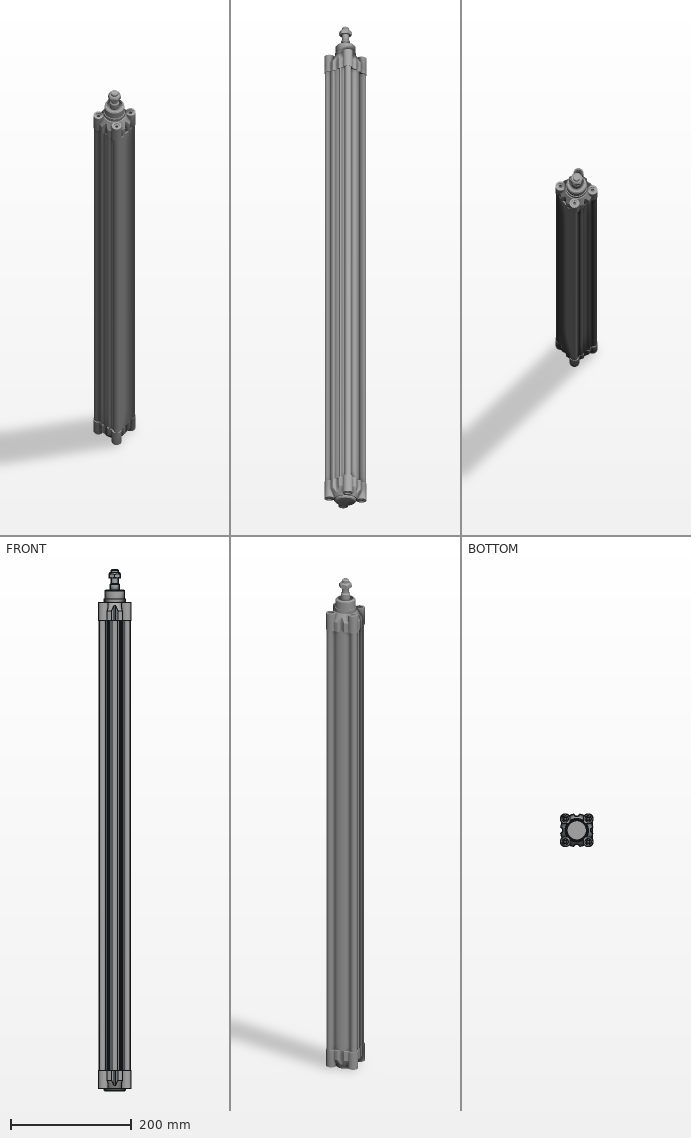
import cadquery as cq
import math

TOTAL_LENGTH = 863
REAR_COLLAR_LENGTH = 4.0
CAP_LENGTH = 30.0
FRONT_COLLAR_LENGTH = 21.0
ROD_EXPOSED_LENGTH = 10.0
THREAD_LENGTH = 23.0

CAP_SIDE = 54.0
POST_SPACING = 38.0
POST_DIAMETER = CAP_SIDE - POST_SPACING
SIDE_GROOVE_WIDTH = 12.0
SIDE_GROOVE_FLOOR_WIDTH = 3.0
CONE_LENGTH = 14.0
CONE_DEPTH = 8.0

SCREW_COUNTERBORE_DIAMETER = 10.0
SCREW_COUNTERBORE_DEPTH = 2.0
SCREW_SOCKET_DIAMETER = 4.9
SCREW_SOCKET_DEPTH = 6.0
SCREW_SOCKET_MOUTH_DIAMETER = 6.2

COLLAR_DIAMETER = 35.0
COLLAR_CHAMFER = 2.0
COLLAR_FOOT_LENGTH = 6.0
COLLAR_NECK_DIAMETER = 33.0
SEAL_RECESS_DIAMETER = 26
SEAL_RECESS_DEPTH = 3.0

BARREL_SIDE = 52
BORE_DIAMETER = 40.0
TUBE_DIAMETER = 47.5
BEAD_DIAMETER = 10.0
BEAD_SPACING = BARREL_SIDE - BEAD_DIAMETER

RAIL_TOP_X = 8.0
RAIL_TOP_Y = BARREL_SIDE / 2
RAIL_OUTER_X = 15.5
RAIL_SLOPE_ANGLE = 25
RAIL_OUTER_Y = RAIL_TOP_Y - (RAIL_OUTER_X - RAIL_TOP_X) * math.tan(math.radians(RAIL_SLOPE_ANGLE))
RAIL_VALLEY_X = 4.0
RAIL_VALLEY_SAG = 0.4
SENSOR_SLOT_WIDTH = 3.0
SENSOR_SLOT_DEPTH = 2.0

ROD_DIAMETER = 15.5
THREAD_DIAMETER = 12.0
THREAD_CHAMFER = 1.3
NUT_FLATS = 19.0
NUT_HEIGHT = 9
NUT_TOP_GAP = 5.0
NUT_TOP_DIAMETER = 15.5
NUT_TOP_CHAMFER = 3.5
NUT_FOOT_CHAMFER_ANGLE = 30

THREAD_Z = TOTAL_LENGTH - THREAD_LENGTH
COLLAR_TOP_Z = THREAD_Z - ROD_EXPOSED_LENGTH
FRONT_CAP_Z = COLLAR_TOP_Z - FRONT_COLLAR_LENGTH - CAP_LENGTH
BARREL_Z = REAR_COLLAR_LENGTH + CAP_LENGTH
BARREL_LENGTH = FRONT_CAP_Z - BARREL_Z
NUT_Z = TOTAL_LENGTH - NUT_TOP_GAP - NUT_HEIGHT


def cylinder(diameter, z, height):
    return cq.Workplane("XY").workplane(offset=z).circle(diameter / 2).extrude(height)


def corner_posts(spacing, diameter, z, height):
    """Four cylinders on the corners of a square."""
    corners = cq.Workplane("XY").workplane(offset=z).rect(spacing, spacing, forConstruction=True)
    return corners.vertices().circle(diameter / 2).extrude(height)


def screw_hole():
    """Cutter for a counterbore and a chamfered socket, its mouth at Z = 0."""
    counterbore_radius = SCREW_COUNTERBORE_DIAMETER / 2
    mouth_radius = SCREW_SOCKET_MOUTH_DIAMETER / 2
    socket_radius = SCREW_SOCKET_DIAMETER / 2
    chamfer_foot = SCREW_COUNTERBORE_DEPTH + mouth_radius - socket_radius
    half_section = [
        (0, 0),
        (counterbore_radius, 0),
        (counterbore_radius, -SCREW_COUNTERBORE_DEPTH),
        (mouth_radius, -SCREW_COUNTERBORE_DEPTH),
        (socket_radius, -chamfer_foot),
        (socket_radius, -SCREW_SOCKET_DEPTH),
        (0, -SCREW_SOCKET_DEPTH),
    ]
    return cq.Workplane("XZ").polyline(half_section).close().revolve(360, (0, 0, 0), (0, 1, 0))


def side_groove():
    """Cutter for the groove in the +X side of a cap, with 45 degree flanks and a flat floor."""
    half_mouth = SIDE_GROOVE_WIDTH / 2
    half_floor = SIDE_GROOVE_FLOOR_WIDTH / 2
    side = CAP_SIDE / 2
    floor = side - (half_mouth - half_floor)
    profile = [(side, -half_mouth), (floor, -half_floor), (floor, half_floor), (side, half_mouth)]
    return cq.Workplane("XY").polyline(profile).close().extrude(CAP_LENGTH)


def cap_block():
    """Cap with its barrel face at Z = 0 and its outer face at Z = CAP_LENGTH."""
    core = cylinder(CAP_SIDE, 0, CAP_LENGTH).faces(">Z").chamfer(CONE_LENGTH, CONE_DEPTH)
    grooves = [
        side_groove().rotate((0, 0, 0), (0, 0, 1), 90 * quarter)
        for quarter in range(4)
    ]
    posts = corner_posts(POST_SPACING, POST_DIAMETER, 0, CAP_LENGTH)
    hole_offset = POST_SPACING / 2
    holes = [
        screw_hole().translate((x, y, CAP_LENGTH))
        for x in (-hole_offset, hole_offset)
        for y in (-hole_offset, hole_offset)
    ]
    cap = core.union(posts)
    for cutter in grooves + holes:
        cap = cap.cut(cutter)
    return cap


def make_rear_cap():
    collar = cylinder(COLLAR_DIAMETER, CAP_LENGTH, REAR_COLLAR_LENGTH).faces(">Z").chamfer(COLLAR_CHAMFER)
    cap = cap_block().union(collar)
    return cap.rotate((0, 0, 0), (1, 0, 0), 180).translate((0, 0, BARREL_Z))


def make_front_cap():
    foot = cylinder(COLLAR_DIAMETER, 0, COLLAR_FOOT_LENGTH)
    neck = cylinder(COLLAR_NECK_DIAMETER, 0, FRONT_COLLAR_LENGTH).faces(">Z").chamfer(COLLAR_CHAMFER)
    recess = cylinder(SEAL_RECESS_DIAMETER, FRONT_COLLAR_LENGTH, -SEAL_RECESS_DEPTH)
    collar = foot.union(neck).cut(recess).translate((0, 0, CAP_LENGTH))
    rod_hole = cylinder(ROD_DIAMETER, 0, CAP_LENGTH + FRONT_COLLAR_LENGTH)
    return cap_block().union(collar).cut(rod_hole).translate((0, 0, FRONT_CAP_Z))


def on_all_quarters(body):
    """A body of the +X, +Y quarter and its mirror images in the other three quarters."""
    right_half = [body, body.mirror("XZ")]
    return right_half + [part.mirror("YZ") for part in right_half]


def bead_ribs():
    """Two diagonal bars that join opposite beads through the tube."""
    bar = (
        cq.Workplane("XY")
        .workplane(offset=BARREL_Z)
        .rect(math.sqrt(2) * BEAD_SPACING, BEAD_DIAMETER)
        .extrude(BARREL_LENGTH)
    )
    return [bar.rotate((0, 0, 0), (0, 0, 1), angle) for angle in (45, 135)]


def flat_side():
    """Block that closes the +X side of the barrel flush with its beads."""
    block = cq.Workplane("XY").workplane(offset=BARREL_Z).rect(BARREL_SIDE / 2, BEAD_SPACING)
    return block.extrude(BARREL_LENGTH).translate((BARREL_SIDE / 4, 0, 0))


def sensor_rail():
    """Rail of the +X, +Y quarter, rooted in the tube wall and in the bead rib."""
    valley_y = math.sqrt((TUBE_DIAMETER / 2) ** 2 - RAIL_VALLEY_X**2)
    return (
        cq.Workplane("XY")
        .workplane(offset=BARREL_Z)
        .moveTo(RAIL_VALLEY_X, valley_y)
        .sagittaArc((RAIL_TOP_X, RAIL_TOP_Y), -RAIL_VALLEY_SAG)
        .lineTo(RAIL_OUTER_X, RAIL_OUTER_Y)
        .lineTo(RAIL_OUTER_X, 0)
        .lineTo(RAIL_VALLEY_X, 0)
        .close()
        .extrude(BARREL_LENGTH)
    )


def sensor_slot():
    """Cutter for the slot in the middle of the sloping rail face of the +X, +Y quarter."""
    middle = ((RAIL_TOP_X + RAIL_OUTER_X) / 2, (RAIL_TOP_Y + RAIL_OUTER_Y) / 2, BARREL_Z)
    return (
        cq.Workplane("XY")
        .rect(SENSOR_SLOT_WIDTH, 2 * SENSOR_SLOT_DEPTH)
        .extrude(BARREL_LENGTH)
        .rotate((0, 0, 0), (0, 0, 1), -RAIL_SLOPE_ANGLE)
        .translate(middle)
    )


def make_barrel():
    tube = cylinder(TUBE_DIAMETER, BARREL_Z, BARREL_LENGTH)
    beads = corner_posts(BEAD_SPACING, BEAD_DIAMETER, BARREL_Z, BARREL_LENGTH)
    barrel = tube.union(beads).union(flat_side())
    for addition in bead_ribs() + on_all_quarters(sensor_rail()):
        barrel = barrel.union(addition)
    for slot in on_all_quarters(sensor_slot()):
        barrel = barrel.cut(slot)
    return barrel.cut(cylinder(BORE_DIAMETER, BARREL_Z, BARREL_LENGTH))


def make_rod():
    rod = cylinder(ROD_DIAMETER, FRONT_CAP_Z, THREAD_Z - FRONT_CAP_Z)
    rod = rod.faces(">Z").chamfer((ROD_DIAMETER - THREAD_DIAMETER) / 2)
    thread = cylinder(THREAD_DIAMETER, THREAD_Z, THREAD_LENGTH).faces(">Z").chamfer(THREAD_CHAMFER)
    return rod.union(thread)


def make_nut():
    corners = NUT_FLATS / math.cos(math.pi / 6)
    foot_inset = (corners - NUT_FLATS) / 2
    foot_rise = foot_inset * math.tan(math.radians(NUT_FOOT_CHAMFER_ANGLE))
    hexagon = cq.Workplane("XY").polygon(6, corners).extrude(NUT_HEIGHT).rotate((0, 0, 0), (0, 0, 1), 90)
    envelope = cylinder(corners, 0, NUT_HEIGHT)
    envelope = envelope.faces(">Z").chamfer(NUT_TOP_CHAMFER, (corners - NUT_TOP_DIAMETER) / 2)
    envelope = envelope.faces("<Z").chamfer(foot_rise, foot_inset)
    bore = cylinder(THREAD_DIAMETER, 0, NUT_HEIGHT)
    return hexagon.intersect(envelope).cut(bore).translate((0, 0, NUT_Z))


rear_cap = make_rear_cap()
barrel = make_barrel()
front_cap = make_front_cap()
rod = make_rod()
nut = make_nut()
result = cq.Compound.makeCompound([rear_cap.val(), barrel.val(), front_cap.val(), rod.val(), nut.val()])